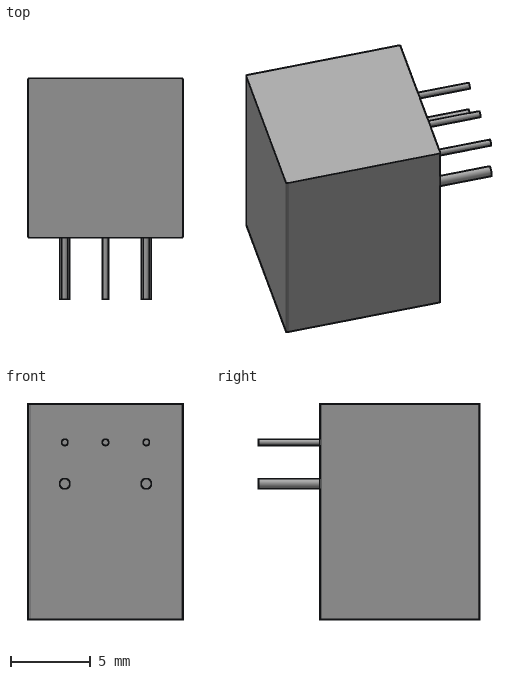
import cadquery as cq

body_width = 9.7
body_height = 13.5
total_depth = 13.85
pin_length = 3.85
body_depth = total_depth - pin_length
edge_radius = 0.1

pin_pitch = 2.55
thin_pin_diameter = 0.4
thick_pin_diameter = 0.65
thin_row_drop = 2.41
thick_row_drop = 5.0


def make_body():
    """Block with its four vertical edges slightly rounded; -Y face at Y = 0."""
    block = cq.Workplane("XY").box(body_width, body_depth, body_height, centered=(True, False, True))
    return block.edges("|Z").fillet(edge_radius)


def make_pin_row(diameter, drop, x_positions):
    """Row of round pins pointing along -Y, at a distance below the top face."""
    row_height = body_height / 2 - drop
    centres = [(x, row_height) for x in x_positions]
    return cq.Workplane("XZ").pushPoints(centres).circle(diameter / 2).extrude(pin_length)


thin_pins = make_pin_row(thin_pin_diameter, thin_row_drop, (-pin_pitch, 0, pin_pitch))
thick_pins = make_pin_row(thick_pin_diameter, thick_row_drop, (-pin_pitch, pin_pitch))

result = make_body().union(thin_pins).union(thick_pins)